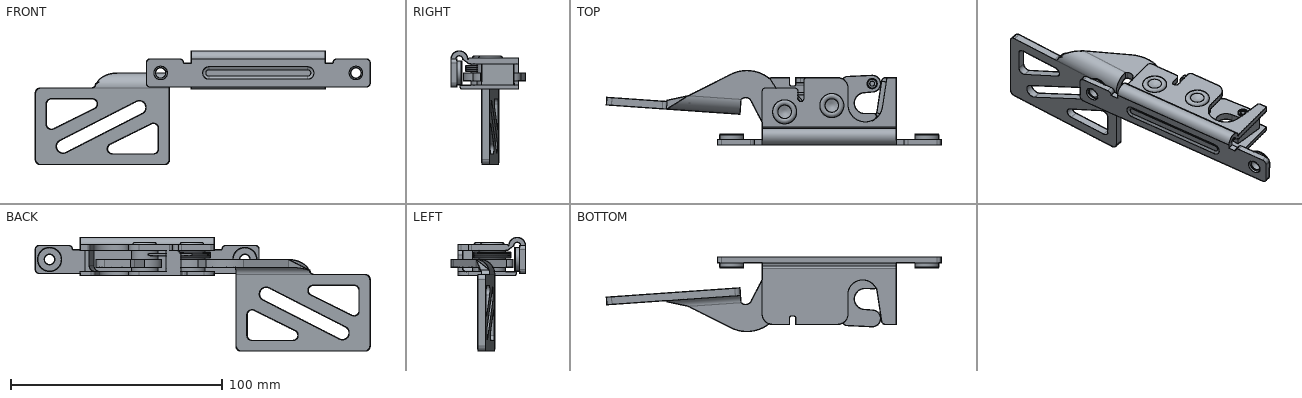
import cadquery as cq
import math


PLATE_LENGTH = 106.0
PLATE_HEIGHT = 13.4
PLATE_THICKNESS = 2.8
PLATE_CORNER_RADIUS = 2.0
MOUNT_HOLE_SPACING = 92.4
MOUNT_HOLE_DIAMETER = 6.4
NUT_DIAMETER = 11.4
NUT_TIP_DIAMETER = 11.11
NUT_BORE_DIAMETER = 4.83
NUT_TOP_Y = 5.3
NUT_TIP_HEIGHT = 0.5
NUT_SEAT_DEPTH = 1.2
GROOVE_LENGTH = 52.6
GROOVE_WIDTH = 5.9
GROOVE_DEPTH = 0.6
GROOVE_WALL_WIDTH = 1.45

BRACKET_LENGTH = 63.5
BRACKET_LEFT = -BRACKET_LENGTH / 2
BRACKET_RIGHT = BRACKET_LENGTH / 2
BRACKET_BACK_Y = 32.0
TOP_PLATE_Z = 7.1
TOP_PLATE_UNDERSIDE = TOP_PLATE_Z - PLATE_THICKNESS
TOP_PLATE_STEP_Y = 27.0
STEP_CORNER_RADIUS = 1.5
HOOK_TOP_Z = 10.45
HOOK_RADIUS = 4.0
HOOK_INNER_RADIUS = 1.6
HOOK_CENTRE_Z = HOOK_TOP_Z - HOOK_RADIUS
TOP_PLATE_FRONT_Y = 8.5
RELIEF_LENGTH = 3.6
RELIEF_DEPTH = 2.0
RELIEF_LIP_RADIUS = 1.9

SPRING_SLOT_LEFT = -14.8
SPRING_SLOT_WIDTH = 2.8
SPRING_SLOT_END_Y = 20.7

STRIKER_X = 17.06
STRIKER_Y = 19.2
STRIKER_RADIUS = 8.2
STRIKER_TILT = math.radians(8.6)
STRIKER_LIP_RADIUS = 5.0
TOP_PLATE_RIGHT_LIP = 1.0
BOTTOM_PLATE_RIGHT_LIP = 2.0

BOTTOM_PLATE_Z = -7.7
BOTTOM_PLATE_THICKNESS = 2.0
BOTTOM_PLATE_TOP = BOTTOM_PLATE_Z + BOTTOM_PLATE_THICKNESS
BOTTOM_PLATE_FRONT_Y = 4.3
BOTTOM_PLATE_CORNER_RADIUS = 5.0
BOTTOM_PLATE_EDGE_RADIUS = 1.2
NOTCH_LEFT = -18.8
NOTCH_RIGHT = -15.9
NOTCH_END_Y = 28.0
NOTCH_RADIUS = 0.9
TAB_LENGTH = 7.0
TAB_THICKNESS = 2.3
TAB_BEND_RADIUS = 2.2
TAB_ROOT_RADIUS = 1.5
GUIDE_THICKNESS = 2.0
GUIDE_BEND_RADIUS = 2.8
GUIDE_SETBACK = 0.5
GUIDE_FRONT_Y = 14.8
GUIDE_BACK_Y = 30.0

LEVER_RIVET = (-21.1, 15.76)
LATCH_RIVET = (1.2, 18.75)
RIVET_HEAD_DIAMETER = 11.4
RIVET_DISH_DIAMETER = 6.4
RIVET_CREST_DIAMETER = 8.6
RIVET_HEAD_HEIGHT = 1.0
RIVET_DISH_RIM = 0.4
RIVET_DISH_DEPTH = 1.0
COLLAR_DIAMETER = 12.7

SHEET_THICKNESS = 3.7
HANDLE_CORNER = (-105.54, 19.0)
HANDLE_TILT = 4.0
HANDLE_LENGTH = 63.5
OVERALL_HEIGHT = 53.87
HANDLE_BOTTOM_Z = HOOK_TOP_Z - OVERALL_HEIGHT
HANDLE_CORNER_RADIUS = 2.5
HANDLE_BEND_RADIUS = 7.1
HANDLE_BEND_START = 38.4
HANDLE_BEND_END = 28.6
TRIM_MARGIN = 5.0
HANDLE_FLARE_RADIUS = 2.0
HANDLE_SLOT_WIDTH = 6.4
HANDLE_SLOT_SPACING = 40.6
HANDLE_SLOT_ANGLE = 27.0
HANDLE_SLOT_OFFSET = 0.65
WINDOW_MARGIN = 5.15
WINDOW_LENGTH = 32.1
WINDOW_HEIGHT = 15.9
WINDOW_CORNER_RADIUS = 2.4
LEVER_HUB_RADIUS = 9.8
HUMP_START = (-45.5, 34.07)
HUMP_TOP = (-38.8, 35.37)
HUMP_END = (-27.9, 31.2)
LEVER_HEEL_END = (-28.0, LEVER_RIVET[1] - LEVER_HUB_RADIUS)
LEVER_HEEL_MIDDLE = (-30.2, 6.9)
LEVER_HEEL_START = (-30.9, 9.1)
FOLD_RELIEF_START = (-37.4, 21.6)
FOLD_RELIEF_MIDDLE = (-39.0, 22.4)
FOLD_RELIEF_END = (-40.8, 22.2)

PIN = (20.3, 29.1)
PIN_HUB_RADIUS = 4.0
PIN_DIAMETER = 4.83
PIN_HEAD_DIAMETER = 4.13
PIN_BORE_DIAMETER = 2.34
PIN_GROOVE_DEPTH = 0.5
JAW_X = 16.8
JAW_Y = 19.9
JAW_RADIUS = 4.9
LATCH_HUB_RADIUS = 8.0
LATCH_SHOULDER = (6.0, 31.2)
LATCH_TOP_START = (7.8, 32.5)
FINGER_TIP_TOP = (21.5, 15.1)
FINGER_TIP = (22.6, 14.0)
FINGER_BELLY = (20.5, 11.4)
FINGER_ROOT_Y = 10.4

SPRING_WIRE_DIAMETER = 1.12
SPRING_COIL_RADIUS = 8.3
SPRING_COIL_HEIGHTS = (1.2, 2.1, 3.0)
SPRING_LEG_Z = 2.3
SPRING_LEG_OFFSET = 0.3


def slab(outline, bottom, top):
    """Extrude a closed plan outline between two heights."""
    return outline.extrude(top - bottom).translate((0, 0, bottom))


def disc(centre, diameter, bottom, top):
    return slab(cq.Workplane("XY").center(*centre).circle(diameter / 2), bottom, top)


def front_sketch(y):
    """Sketch plane facing -Y at depth y; extrusions run toward +Y when negative."""
    return cq.Workplane("XZ", origin=(0, y, 0))


def block(x_range, y_range, z_range):
    size = [high - low for low, high in (x_range, y_range, z_range)]
    corner = (x_range[0], y_range[0], z_range[0])
    return cq.Workplane("XY").box(*size, centered=False).translate(corner)


def mounting_plate():
    plate = front_sketch(0).rect(PLATE_LENGTH, PLATE_HEIGHT).extrude(-PLATE_THICKNESS)
    plate = plate.edges("|Y").fillet(PLATE_CORNER_RADIUS)
    for side in (-1, 1):
        relief_end = side * (BRACKET_RIGHT + RELIEF_LENGTH)
        x_range = sorted((side * BRACKET_RIGHT, relief_end))
        z_range = (PLATE_HEIGHT / 2 - RELIEF_DEPTH, HOOK_TOP_Z)
        plate = plate.cut(block(x_range, (0, PLATE_THICKNESS), z_range))
        far_wall = cq.selectors.NearestToPointSelector((relief_end, 0, PLATE_HEIGHT / 2))
        plate = plate.edges("|Y").edges(far_wall).fillet(RELIEF_LIP_RADIUS)
    groove_taper = math.degrees(math.atan2(GROOVE_WALL_WIDTH, GROOVE_DEPTH))
    groove = front_sketch(0).slot2D(GROOVE_LENGTH, GROOVE_WIDTH).extrude(-GROOVE_DEPTH, taper=groove_taper)
    plate = plate.cut(groove)
    return add_nuts(plate)


def add_nuts(plate):
    """Press nuts standing behind the plate, with a threaded bore behind a wider hole."""
    for x in (-MOUNT_HOLE_SPACING / 2, MOUNT_HOLE_SPACING / 2):
        nut = front_sketch(PLATE_THICKNESS).center(x, 0).circle(NUT_DIAMETER / 2)
        plate = plate.union(nut.extrude(PLATE_THICKNESS + NUT_TIP_HEIGHT - NUT_TOP_Y))
        tip = front_sketch(PLATE_THICKNESS).center(x, 0).circle(NUT_TIP_DIAMETER / 2)
        plate = plate.union(tip.extrude(PLATE_THICKNESS - NUT_TOP_Y))
        plate = plate.cut(front_sketch(0).center(x, 0).circle(NUT_BORE_DIAMETER / 2).extrude(-NUT_TOP_Y))
        seat = front_sketch(0).center(x, 0).circle(MOUNT_HOLE_DIAMETER / 2).extrude(-NUT_SEAT_DEPTH)
        plate = plate.cut(seat)
    return plate


def hook():
    """Rolled fold joining the mounting plate to the top plate."""
    base_z = PLATE_HEIGHT / 2 - RELIEF_DEPTH
    section = (
        cq.Workplane("YZ", origin=(BRACKET_LEFT, 0, 0))
        .moveTo(0, base_z)
        .lineTo(0, HOOK_CENTRE_Z)
        .threePointArc((HOOK_RADIUS, HOOK_TOP_Z), (2 * HOOK_RADIUS, HOOK_CENTRE_Z))
        .lineTo(TOP_PLATE_FRONT_Y, TOP_PLATE_Z)
        .lineTo(TOP_PLATE_FRONT_Y, TOP_PLATE_UNDERSIDE)
        .lineTo(HOOK_RADIUS + HOOK_INNER_RADIUS, HOOK_CENTRE_Z)
        .threePointArc(
            (HOOK_RADIUS, HOOK_CENTRE_Z + HOOK_INNER_RADIUS),
            (HOOK_RADIUS - HOOK_INNER_RADIUS, HOOK_CENTRE_Z),
        )
        .lineTo(PLATE_THICKNESS, base_z)
        .close()
    )
    return section.extrude(BRACKET_LENGTH)


def guide_line_x(y):
    """X of the slanted right side of the striker opening at a given Y."""
    tangent_x = STRIKER_X + STRIKER_RADIUS * math.cos(STRIKER_TILT)
    tangent_y = STRIKER_Y - STRIKER_RADIUS * math.sin(STRIKER_TILT)
    return tangent_x + (y - tangent_y) * math.tan(STRIKER_TILT)


def striker_opening(inset, right_lip, bottom, top):
    """U-shaped opening whose slanted right side is moved left by inset, with a rounded mouth."""
    left = STRIKER_X - STRIKER_RADIUS
    lip_corner = BRACKET_BACK_Y - STRIKER_LIP_RADIUS
    lip_middle = STRIKER_LIP_RADIUS * math.sqrt(0.5)
    right_lip_y = BRACKET_BACK_Y - right_lip
    right_lip_x = guide_line_x(right_lip_y) - inset
    tangent_y = STRIKER_Y - STRIKER_RADIUS * math.sin(STRIKER_TILT)
    tangent_x = guide_line_x(tangent_y) - inset
    outline = (
        cq.Workplane("XY")
        .moveTo(left, STRIKER_Y)
        .threePointArc((STRIKER_X, STRIKER_Y - STRIKER_RADIUS), (tangent_x, tangent_y))
        .lineTo(right_lip_x, right_lip_y)
        .radiusArc((right_lip_x + right_lip, BRACKET_BACK_Y), right_lip)
        .lineTo(left - STRIKER_LIP_RADIUS, BRACKET_BACK_Y)
        .threePointArc(
            (left - STRIKER_LIP_RADIUS + lip_middle, lip_corner + lip_middle), (left, lip_corner)
        )
        .close()
    )
    return slab(outline, bottom, top)


def top_plate():
    slot_right = SPRING_SLOT_LEFT + SPRING_SLOT_WIDTH
    slot_radius = SPRING_SLOT_WIDTH / 2
    slot_centre_y = SPRING_SLOT_END_Y + slot_radius
    outline = (
        cq.Workplane("XY")
        .moveTo(BRACKET_LEFT, TOP_PLATE_FRONT_Y)
        .lineTo(BRACKET_LEFT, TOP_PLATE_STEP_Y)
        .lineTo(SPRING_SLOT_LEFT, TOP_PLATE_STEP_Y)
        .lineTo(SPRING_SLOT_LEFT, slot_centre_y)
        .threePointArc((SPRING_SLOT_LEFT + slot_radius, SPRING_SLOT_END_Y), (slot_right, slot_centre_y))
        .lineTo(slot_right, BRACKET_BACK_Y)
        .lineTo(BRACKET_RIGHT, BRACKET_BACK_Y)
        .lineTo(BRACKET_RIGHT, TOP_PLATE_FRONT_Y)
        .close()
    )
    plate = slab(outline, TOP_PLATE_UNDERSIDE, TOP_PLATE_Z)
    step_edges = cq.selectors.BoxSelector(
        (BRACKET_LEFT - 1, TOP_PLATE_STEP_Y - 1, 0),
        (SPRING_SLOT_LEFT + 1, TOP_PLATE_STEP_Y + 1, TOP_PLATE_Z),
    )
    plate = plate.edges("|Z").edges(step_edges).fillet(STEP_CORNER_RADIUS)
    slot_corner = cq.selectors.NearestToPointSelector((slot_right, BRACKET_BACK_Y, TOP_PLATE_Z))
    plate = plate.edges("|Z").edges(slot_corner).fillet(STEP_CORNER_RADIUS)
    return plate.cut(striker_opening(0, TOP_PLATE_RIGHT_LIP, TOP_PLATE_UNDERSIDE, TOP_PLATE_Z))


def bottom_plate():
    plate = block(
        (BRACKET_LEFT, BRACKET_RIGHT),
        (BOTTOM_PLATE_FRONT_Y, BRACKET_BACK_Y),
        (BOTTOM_PLATE_Z, BOTTOM_PLATE_TOP),
    )
    plate = plate.edges("|Z and <X and >Y").fillet(BOTTOM_PLATE_CORNER_RADIUS)
    plate = plate.edges("<Y and <Z").fillet(BOTTOM_PLATE_EDGE_RADIUS)
    notch = block(
        (NOTCH_LEFT, NOTCH_RIGHT), (NOTCH_END_Y, BRACKET_BACK_Y), (BOTTOM_PLATE_Z, BOTTOM_PLATE_TOP)
    )
    plate = plate.cut(notch.edges("|Z and <Y").fillet(NOTCH_RADIUS))
    inset = GUIDE_BEND_RADIUS / math.cos(STRIKER_TILT) - GUIDE_SETBACK
    return plate.cut(
        striker_opening(inset, BOTTOM_PLATE_RIGHT_LIP, BOTTOM_PLATE_Z, BOTTOM_PLATE_TOP)
    )


def stop_tab():
    """Wall along the back edge, rounded where it turns at the notch."""
    tab = block(
        (NOTCH_RIGHT, NOTCH_RIGHT + TAB_LENGTH),
        (BRACKET_BACK_Y - TAB_THICKNESS, BRACKET_BACK_Y),
        (BOTTOM_PLATE_Z, TOP_PLATE_UNDERSIDE),
    )
    tab = tab.edges("|Y and <X and >Z").fillet(TAB_BEND_RADIUS)
    inner_y = BRACKET_BACK_Y - TAB_THICKNESS
    bend = (
        cq.Workplane("YZ", origin=(NOTCH_RIGHT, 0, 0))
        .moveTo(inner_y, BOTTOM_PLATE_Z)
        .lineTo(inner_y, BOTTOM_PLATE_TOP + TAB_ROOT_RADIUS)
        .radiusArc((inner_y - TAB_ROOT_RADIUS, BOTTOM_PLATE_TOP), TAB_ROOT_RADIUS)
        .lineTo(inner_y - TAB_ROOT_RADIUS, BOTTOM_PLATE_Z)
        .close()
        .extrude(TAB_LENGTH)
    )
    return tab.union(bend)


def striker_guide():
    """Slanted wall along the right side of the striker opening."""
    section = (
        cq.Workplane("XZ")
        .moveTo(-GUIDE_BEND_RADIUS, BOTTOM_PLATE_Z)
        .lineTo(-GUIDE_BEND_RADIUS, BOTTOM_PLATE_TOP)
        .radiusArc((0, BOTTOM_PLATE_TOP + GUIDE_BEND_RADIUS), -GUIDE_BEND_RADIUS)
        .lineTo(0, TOP_PLATE_UNDERSIDE)
        .lineTo(GUIDE_THICKNESS, TOP_PLATE_UNDERSIDE)
        .lineTo(GUIDE_THICKNESS, BOTTOM_PLATE_Z)
        .close()
    )
    wall = section.extrude(GUIDE_FRONT_Y - GUIDE_BACK_Y)
    turned = wall.rotate((0, 0, 0), (0, 0, 1), -math.degrees(STRIKER_TILT))
    return turned.translate((guide_line_x(GUIDE_FRONT_Y) + GUIDE_SETBACK, GUIDE_FRONT_Y, 0))


def rivet(centre):
    """Rivet with collars between the plates and a dished head on the top plate."""
    head = (
        cq.Workplane("XZ")
        .lineTo(RIVET_HEAD_DIAMETER / 2, 0)
        .threePointArc(
            (RIVET_CREST_DIAMETER / 2, RIVET_HEAD_HEIGHT), (RIVET_DISH_DIAMETER / 2, RIVET_DISH_RIM)
        )
        .lineTo(0, RIVET_DISH_RIM)
        .close()
        .revolve(360, (0, 0, 0), (0, 1, 0))
    )
    cone = cq.Solid.makeCone(0, RIVET_DISH_DIAMETER / 2, RIVET_DISH_DEPTH)
    dish = cq.Workplane(cone).translate((0, 0, RIVET_DISH_RIM - RIVET_DISH_DEPTH))
    position = (centre[0], centre[1], TOP_PLATE_Z)
    collar = disc(centre, COLLAR_DIAMETER, BOTTOM_PLATE_TOP, TOP_PLATE_UNDERSIDE)
    return collar.union(head.translate(position)), dish.translate(position)


def handle_point(along, behind):
    """Plan position of a point given along and behind the front face of the handle."""
    tilt = math.radians(HANDLE_TILT)
    x = HANDLE_CORNER[0] + along * math.cos(tilt) + behind * math.sin(tilt)
    y = HANDLE_CORNER[1] - along * math.sin(tilt) + behind * math.cos(tilt)
    return (x, y)


def place_handle(shape):
    turned = shape.rotate((0, 0, 0), (0, 0, 1), -HANDLE_TILT)
    return turned.translate((HANDLE_CORNER[0], HANDLE_CORNER[1], 0))


def handle_grip():
    """Upright grip plate with a slanted slot between two triangular windows."""
    grip_top = -HANDLE_BEND_RADIUS
    grip = block((0, HANDLE_LENGTH), (0, SHEET_THICKNESS), (HANDLE_BOTTOM_Z, grip_top))
    for corner in ("<X and <Z", "<X and >Z", ">X and <Z"):
        grip = grip.edges("|Y").edges(corner).fillet(HANDLE_CORNER_RADIUS)
    centre = (HANDLE_LENGTH / 2, 0, (HANDLE_BOTTOM_Z + grip_top) / 2)
    slot_length = HANDLE_SLOT_SPACING + HANDLE_SLOT_WIDTH
    slot = (
        front_sketch(0)
        .transformed(rotate=(0, 0, HANDLE_SLOT_ANGLE))
        .center(-HANDLE_SLOT_OFFSET, 0)
        .slot2D(slot_length, HANDLE_SLOT_WIDTH)
    )
    grip = grip.cut(slot.extrude(-SHEET_THICKNESS).translate(centre))
    left = WINDOW_MARGIN - HANDLE_LENGTH / 2
    top = (grip_top - HANDLE_BOTTOM_Z) / 2 - WINDOW_MARGIN
    triangle = [(left, top), (left + WINDOW_LENGTH, top), (left, top - WINDOW_HEIGHT)]
    window = front_sketch(0).polyline(triangle).close().extrude(-SHEET_THICKNESS)
    window = window.edges("|Y").fillet(WINDOW_CORNER_RADIUS)
    for turn in (0, 180):
        grip = grip.cut(window.rotate((0, 0, 0), (0, 1, 0), turn).translate(centre))
    return place_handle(grip)


def handle_bend():
    """Quarter-round bend between grip and lever, trimmed along the lever's slanted edge."""
    radius = HANDLE_BEND_RADIUS
    inner = radius - SHEET_THICKNESS
    cos45 = math.sqrt(0.5)
    bend = (
        cq.Workplane("YZ")
        .moveTo(0, -radius)
        .threePointArc((radius - radius * cos45, radius * cos45 - radius), (radius, 0))
        .lineTo(radius, -SHEET_THICKNESS)
        .threePointArc((radius - inner * cos45, inner * cos45 - radius), (SHEET_THICKNESS, -radius))
        .close()
        .extrude(HANDLE_LENGTH)
    )
    trim_end = handle_point(HANDLE_BEND_END, 0)
    trim = cq.Workplane("XY").polyline([
        handle_point(HANDLE_BEND_START, radius + TRIM_MARGIN),
        handle_point(HANDLE_BEND_START, radius),
        trim_end,
        (trim_end[0], trim_end[1] - TRIM_MARGIN),
        (HANDLE_CORNER[0] - TRIM_MARGIN, trim_end[1] - TRIM_MARGIN),
        (HANDLE_CORNER[0] - TRIM_MARGIN, HUMP_START[1]),
    ]).close()
    flare_start = HANDLE_BEND_END - HANDLE_FLARE_RADIUS
    flare = (
        cq.Workplane("XZ")
        .moveTo(flare_start, -radius)
        .radiusArc((HANDLE_BEND_END, HANDLE_FLARE_RADIUS - radius), -HANDLE_FLARE_RADIUS)
        .lineTo(HANDLE_BEND_START, 0)
        .lineTo(HANDLE_BEND_START, -radius)
        .close()
        .extrude(-radius)
    )
    flare_limit = cq.Workplane("XY").polyline([
        (flare_start, 0),
        (flare_start, SHEET_THICKNESS),
        (HANDLE_BEND_START, radius),
        (HANDLE_BEND_START, 0),
    ]).close()
    flare = flare.intersect(slab(flare_limit, -radius, 0))
    return place_handle(bend).cut(slab(trim, -radius, 0).cut(place_handle(flare)))


def lever():
    """Flat lever arm from the handle bend to its hub on the lever rivet."""
    fold_start = handle_point(HANDLE_BEND_START, HANDLE_BEND_RADIUS)
    fold_end = handle_point(HANDLE_LENGTH, HANDLE_BEND_RADIUS)
    hub_x, hub_y = LEVER_RIVET
    outline = (
        cq.Workplane("XY")
        .moveTo(*fold_start)
        .lineTo(*HUMP_START)
        .threePointArc(HUMP_TOP, HUMP_END)
        .lineTo(hub_x, hub_y + LEVER_HUB_RADIUS / 2)
        .lineTo(hub_x, hub_y - LEVER_HUB_RADIUS)
        .lineTo(*LEVER_HEEL_END)
        .threePointArc(LEVER_HEEL_MIDDLE, LEVER_HEEL_START)
        .lineTo(*FOLD_RELIEF_START)
        .threePointArc(FOLD_RELIEF_MIDDLE, FOLD_RELIEF_END)
        .lineTo(*fold_end)
        .close()
    )
    arm = slab(outline, -SHEET_THICKNESS, 0)
    return arm.union(disc(LEVER_RIVET, 2 * LEVER_HUB_RADIUS, -SHEET_THICKNESS, 0))


def latch():
    """Hooked jaw on the latch rivet, carrying the pin at its upper tip."""
    pin_x, pin_y = PIN
    outline = (
        cq.Workplane("XY")
        .moveTo(LATCH_RIVET[0], LATCH_RIVET[1] + LATCH_HUB_RADIUS)
        .lineTo(*LATCH_SHOULDER)
        .lineTo(*LATCH_TOP_START)
        .lineTo(pin_x, pin_y + PIN_HUB_RADIUS)
        .threePointArc((pin_x + PIN_HUB_RADIUS, pin_y), (pin_x, pin_y - PIN_HUB_RADIUS))
        .lineTo(JAW_X, JAW_Y + JAW_RADIUS)
        .threePointArc((JAW_X - JAW_RADIUS, JAW_Y), (JAW_X, JAW_Y - JAW_RADIUS))
        .lineTo(*FINGER_TIP_TOP)
        .lineTo(*FINGER_TIP)
        .threePointArc(FINGER_BELLY, (JAW_X, FINGER_ROOT_Y))
        .lineTo(LATCH_RIVET[0], LATCH_RIVET[1] - LATCH_HUB_RADIUS)
        .close()
    )
    body = slab(outline, -SHEET_THICKNESS, 0)
    body = body.union(disc(LATCH_RIVET, 2 * LATCH_HUB_RADIUS, -SHEET_THICKNESS, 0))
    groove = disc(PIN, PIN_DIAMETER, -PIN_GROOVE_DEPTH, 0)
    groove = groove.cut(disc(PIN, PIN_HEAD_DIAMETER, -PIN_GROOVE_DEPTH, 0))
    return body.cut(groove).cut(disc(PIN, PIN_BORE_DIAMETER, -PIN_GROOVE_DEPTH, 0))


def spring():
    """Coils around the lever rivet and a straight leg resting on the latch rivet's collar."""
    wire = SPRING_WIRE_DIAMETER / 2
    leg_length = LATCH_RIVET[0] - LEVER_RIVET[0]
    leg_y = LEVER_RIVET[1] + SPRING_COIL_RADIUS + SPRING_LEG_OFFSET
    leg = cq.Workplane("YZ").circle(wire).extrude(leg_length)
    coils = leg.translate((LEVER_RIVET[0], leg_y, SPRING_LEG_Z))
    for height in SPRING_COIL_HEIGHTS:
        coil = cq.Workplane("XZ").center(SPRING_COIL_RADIUS, height).circle(wire)
        coil = coil.revolve(360, (-SPRING_COIL_RADIUS, 0, 0), (-SPRING_COIL_RADIUS, 1, 0))
        coils = coils.union(coil.translate((*LEVER_RIVET, 0)))
    return coils


result = mounting_plate()
parts = (hook, top_plate, bottom_plate, stop_tab, striker_guide, lever, handle_bend, handle_grip, latch)
for part in parts:
    result = result.union(part())
for rivet_centre in (LEVER_RIVET, LATCH_RIVET):
    body, dish = rivet(rivet_centre)
    result = result.union(body).cut(dish)
result = result.union(spring())